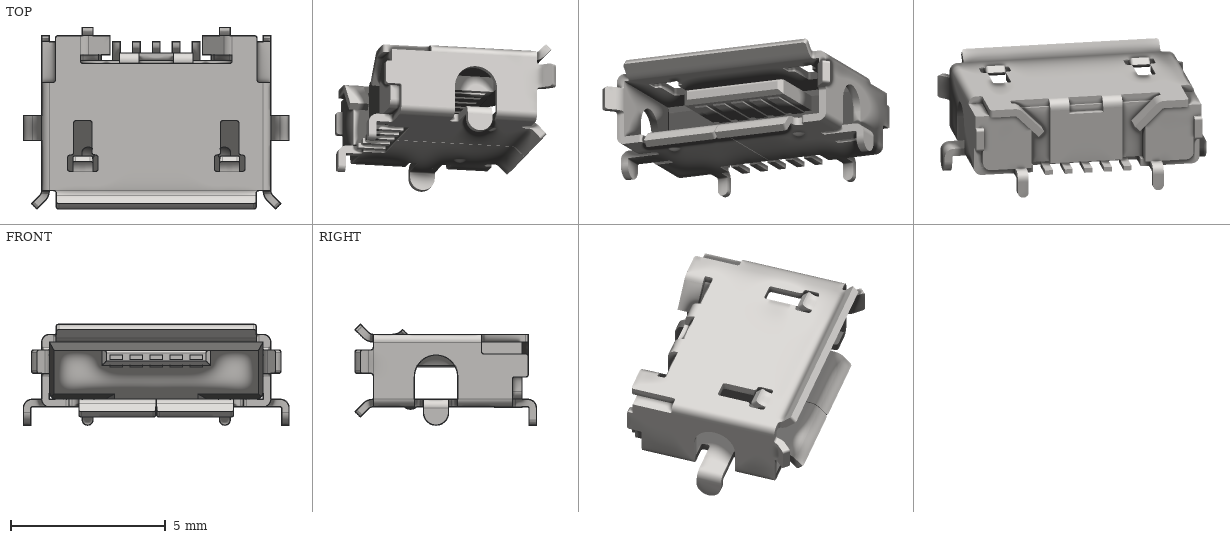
import cadquery as cq
import math


SHEET = 0.25
SHELL_HALF = 3.71
SHELL_TOP = 2.35
SHELL_CORNER = 0.26
INNER_HALF = SHELL_HALF - SHEET
CEILING = SHELL_TOP - SHEET
TOP_REAR = 5.01
BOTTOM_REAR = 4.51
SMALL_ROUND = 0.09
TINY_ROUND = 0.05
SEAM = 0.03
BEND_ANGLE = 45

LIP_RADIUS = 0.215
LIP_REACH = 0.59
TOP_LIP_HALF = 3.23
BOTTOM_LIP_HALF = 2.5
SIDE_LIP_LOW = 1.08
SIDE_LIP_HIGH = 1.84
RELIEF_OUTER = 2.82
RELIEF_DEPTH = 0.275
RELIEF_CORNER = 0.095
RELIEF_ROUND = 0.215

LEG_Y = 2.03
LEG_WIDTH = 0.82
LEG_HALF_SPAN = 4.3
FOOT_BOTTOM = -0.59
FOOT_BEND = 0.04
FOOT_ANGLE = 90
WINDOW_WIDTH = 1.39
WINDOW_TOP = 1.68
SLOT_INNER = 2.91

PEG_X = 2.22
PEG_WIDTH = 0.35
PEG_REAR = 5.28

TOP_NOTCH_HALF = 2.45
TOP_NOTCH_Y = 4.11
BOTTOM_NOTCH_HALF = 1.77
BOTTOM_NOTCH_Y = 3.78
EAR_FRONT = 3.5
EAR_BOTTOM = 1.71
EAR_INNER = 3.26
WALL_STEP_Z = 0.96

FLAP_FRONT = 4.395
FLAP_INNER = 1.49
FLAP_RADIUS = 0.11

TAB_X = 2.37
TAB_WIDTH = 0.645
TAB_ROOT = 0.62
TAB_RADIUS = 0.43
TAB_REACH = 0.51
TAB_OPENING_WIDTH = 0.99
TAB_OPENING_REAR = 1.15
STEM_WIDTH = 0.59
STEM_REAR = 2.27

DIMPLE_X = 2.2
DIMPLE_Y = 1.2
DIMPLE_RADIUS = 0.21
DIMPLE_DEPTH = 0.08

BLOCK_FRONT = 3.21
BLOCK_REAR = 4.21
SHOULDER_REAR = 4.82
SHOULDER_INNER = 1.87
BLOCK_CORNER = 0.25
BEVEL_DEPTH = 0.26
TOP_BEVEL = 0.275
SIDE_BEVEL = 0.155
BOTTOM_BEVEL = 0.17
BOTTOM_BEVEL_END = 1.35
BOTTOM_BEVEL_SLANT = 0.3
TONGUE_HALF = 1.755
TONGUE_TIP = 0.86
TONGUE_BOTTOM = 1.34
TONGUE_TOP = CEILING - TOP_BEVEL
TIP_SIDE_BEVEL = 0.15
TIP_TOP_ROUND = 0.09
TIP_BOTTOM_BEVEL = 0.15
BUMP_INNER = 0.55
BUMP_OUTER = 1.19
BUMP_REAR = 4.455
BUMP_ROUND = 0.31
LEDGE_TOP = 1.89

CONTACT_COUNT = 5
CONTACT_PITCH = 0.645
CONTACT_THICK = 0.155
BLADE_WIDTH = 0.4
TAIL_WIDTH = 0.26
BLADE_BOTTOM = 1.29
NOSE_BOTTOM = 1.53
JOG_FRONT = 1.03
JOG_REAR = 1.25
DROP_FRONT = 3.91
TAIL_BOTTOM = -0.02
TAIL_REAR = SHOULDER_REAR


def block(x0, x1, y0, y1, z0, z1):
    """Box between two opposite corners."""
    return cq.Workplane("XY").box(x1 - x0, y1 - y0, z1 - z0, centered=False).translate((x0, y0, z0))


def straight_for_reach(reach, radius, angle):
    """Flat length a bent strip needs for its outer face to reach a given distance."""
    a = math.radians(angle)
    return (reach - (radius + SHEET) * math.sin(a)) / math.cos(a)


def root_trim(origin, along, toward, edge, root_round):
    """Cutter beside one edge of a strip that leaves a concave round at the strip's root."""
    size = abs(root_round)
    far = 2 * LIP_REACH
    plane = cq.Plane(origin=origin, xDir=along, normal=toward)
    arc_mid = (size * (1 - math.sqrt(0.5)), edge + root_round * (1 - math.sqrt(0.5)))
    return (
        cq.Workplane(plane)
        .moveTo(0, edge + root_round)
        .threePointArc(arc_mid, (size, edge))
        .lineTo(far, edge)
        .lineTo(far, edge + 2 * root_round)
        .lineTo(0, edge + 2 * root_round)
        .close()
        .extrude(far, both=True)
    )


def bent_strip(origin, along, toward, width, radius, angle, straight, tip_round=0, root_round=0):
    """Strip that leaves `origin` in direction `along` and bends in direction `toward`.

    `origin` lies on the face inside the bend, in the middle of the strip's width.
    `tip_round` rounds the tip corners and `root_round` flares the strip where it starts.
    """
    a = math.radians(angle)
    half = a / 2
    s, c = math.sin(a), math.cos(a)
    outer = radius + SHEET
    inner_end = (radius * s, radius * (1 - c))
    inner_mid = (radius * math.sin(half), radius * (1 - math.cos(half)))
    outer_end = (outer * s, radius - outer * c)
    outer_mid = (outer * math.sin(half), radius - outer * math.cos(half))
    inner_tip = (inner_end[0] + straight * c, inner_end[1] + straight * s)
    outer_tip = (outer_end[0] + straight * c, outer_end[1] + straight * s)

    across = cq.Vector(*along).cross(cq.Vector(*toward))
    plane = cq.Plane(origin=origin, xDir=along, normal=across.toTuple())
    strip = (
        cq.Workplane(plane)
        .moveTo(0, -SHEET)
        .lineTo(0, 0)
        .threePointArc(inner_mid, inner_end)
        .lineTo(*inner_tip)
        .lineTo(*outer_tip)
        .lineTo(*outer_end)
        .threePointArc(outer_mid, (0, -SHEET))
        .close()
        .extrude(width / 2 + root_round, both=True)
    )
    if root_round:
        for side in (-1, 1):
            strip = strip.cut(root_trim(origin, along, toward, side * width / 2, side * root_round))
    if tip_round:
        tip = plane.toWorldCoords(((inner_tip[0] + outer_tip[0]) / 2, (inner_tip[1] + outer_tip[1]) / 2))
        tip_face = strip.faces(cq.selectors.NearestToPointSelector(tip.toTuple()))
        through_sheet = plane.toWorldCoords(outer_tip) - plane.toWorldCoords(inner_tip)
        strip = tip_face.edges(cq.selectors.ParallelDirSelector(through_sheet)).fillet(tip_round)
    return strip


def round_foot(origin, along, width):
    """Strip bent straight down at `origin`, ending in a half-round foot."""
    drop = -FOOT_BOTTOM - FOOT_BEND - width / 2
    strip = bent_strip(origin, along, (0, 0, -1), width, FOOT_BEND, FOOT_ANGLE, drop)
    plane = cq.Plane(origin=origin, xDir=(-along[1], along[0], 0), normal=along)
    half_disc = (
        cq.Workplane(plane)
        .workplane(offset=FOOT_BEND)
        .moveTo(-width / 2, FOOT_BOTTOM + width / 2)
        .threePointArc((0, FOOT_BOTTOM), (width / 2, FOOT_BOTTOM + width / 2))
        .close()
        .extrude(SHEET)
    )
    return strip.union(half_disc)


def half_tube():
    """Right half of the folded tube, open at the mouth and the rear."""
    tube = (
        block(-SHELL_HALF, SHELL_HALF, 0, TOP_REAR, 0, SHELL_TOP)
        .edges("|Y")
        .fillet(SHELL_CORNER)
        .cut(block(-INNER_HALF, INNER_HALF, 0, TOP_REAR, SHEET, CEILING))
        .intersect(block(0, SHELL_HALF, 0, TOP_REAR, 0, SHELL_TOP))
    )
    return tube.cut(block(0, SEAM / 2, 0, TOP_REAR, 0, SHEET))


def cut_rear(half):
    """Trim the rear: top notch, ear cutout, wall step and bottom notch."""
    top_notch = block(0, TOP_NOTCH_HALF, TOP_NOTCH_Y, TOP_REAR, CEILING, SHELL_TOP)
    top_notch = top_notch.edges("|Z and >X and <Y").fillet(SMALL_ROUND)
    ear_top = block(EAR_INNER, SHELL_HALF, EAR_FRONT, TOP_REAR, CEILING, SHELL_TOP)
    ear_top = ear_top.edges("|Z and <X and <Y").fillet(SMALL_ROUND)
    ear_side = block(INNER_HALF, SHELL_HALF, EAR_FRONT, TOP_REAR, EAR_BOTTOM, SHELL_TOP)
    ear_side = ear_side.edges("|X and <Y and <Z").fillet(SMALL_ROUND)
    step = block(INNER_HALF, SHELL_HALF, BOTTOM_REAR, TOP_REAR, 0, WALL_STEP_Z)
    step = step.edges("|X and <Y and >Z").fillet(TINY_ROUND)
    bottom_end = block(0, SHELL_HALF, BOTTOM_REAR, TOP_REAR, 0, SHEET)
    bottom_notch = block(0, BOTTOM_NOTCH_HALF, BOTTOM_NOTCH_Y, TOP_REAR, 0, SHEET)
    bottom_notch = bottom_notch.edges("|Z and >X and <Y").fillet(SMALL_ROUND)
    for cutter in (top_notch, ear_top, ear_side, step, bottom_end, bottom_notch):
        half = half.cut(cutter)
    half = half.edges(cq.selectors.NearestToPointSelector((EAR_INNER, TOP_REAR, CEILING + SHEET / 2)))
    half = half.fillet(SMALL_ROUND)
    for corner_z in (WALL_STEP_Z, EAR_BOTTOM):
        corner = (SHELL_HALF - SHEET / 2, TOP_REAR, corner_z)
        half = half.edges(cq.selectors.NearestToPointSelector(corner)).fillet(SMALL_ROUND)
    return half


def add_lips(half):
    """Flared lips on the top, side and bottom of the mouth."""
    straight = straight_for_reach(LIP_REACH, LIP_RADIUS, BEND_ANGLE)
    forward = (0, -1, 0)
    top = bent_strip(
        (0, 0, SHELL_TOP), forward, (0, 0, 1), 2 * TOP_LIP_HALF,
        LIP_RADIUS, BEND_ANGLE, straight, SMALL_ROUND, SMALL_ROUND,
    ).intersect(block(0, SHELL_HALF, -LIP_REACH, 0, 0, 2 * SHELL_TOP))
    side = bent_strip(
        (SHELL_HALF, 0, (SIDE_LIP_LOW + SIDE_LIP_HIGH) / 2), forward, (1, 0, 0),
        SIDE_LIP_HIGH - SIDE_LIP_LOW, LIP_RADIUS, BEND_ANGLE, straight, SMALL_ROUND, SMALL_ROUND,
    )
    bottom = bent_strip(
        ((SEAM / 2 + BOTTOM_LIP_HALF) / 2, 0, 0), forward, (0, 0, -1),
        BOTTOM_LIP_HALF - SEAM / 2, LIP_RADIUS, BEND_ANGLE, straight, SMALL_ROUND,
    )
    relief = block(BOTTOM_LIP_HALF, RELIEF_OUTER, 0, RELIEF_DEPTH, 0, SHEET)
    relief = relief.edges("|Z and >Y and >X").fillet(RELIEF_CORNER)
    relief = relief.edges("|Z and >Y and <X").fillet(RELIEF_ROUND)
    half = half.cut(relief)
    half = half.edges(cq.selectors.NearestToPointSelector((RELIEF_OUTER, 0, SHEET / 2)))
    half = half.fillet(RELIEF_CORNER)
    half = half.union(top).union(side).union(bottom)
    return half


def add_leg(half):
    """Round-topped side window with the solder leg that comes out of it."""
    y0 = LEG_Y - WINDOW_WIDTH / 2
    y1 = LEG_Y + WINDOW_WIDTH / 2
    spring_line = WINDOW_TOP - WINDOW_WIDTH / 2
    arch = (
        cq.Workplane("YZ", origin=(INNER_HALF, LEG_Y, spring_line))
        .circle(WINDOW_WIDTH / 2)
        .extrude(SHEET)
    )
    half = half.cut(arch).cut(block(INNER_HALF, SHELL_HALF, y0, y1, 0, spring_line))
    leg_y0 = LEG_Y - LEG_WIDTH / 2
    leg_y1 = LEG_Y + LEG_WIDTH / 2
    for slot_y0, slot_y1 in ((y0, leg_y0), (leg_y1, y1)):
        slot = block(SLOT_INNER, SHELL_HALF, slot_y0, slot_y1, 0, SHEET)
        half = half.cut(slot.edges("|Z and <X").fillet(SMALL_ROUND))
    bend_x = LEG_HALF_SPAN - FOOT_BEND - SHEET
    strip = block(INNER_HALF, bend_x, leg_y0, leg_y1, 0, SHEET)
    return half.union(strip).union(round_foot((bend_x, LEG_Y, 0), (1, 0, 0), LEG_WIDTH))


def add_peg(half):
    """Rear peg: a tongue of the bottom plate bent down."""
    bend_y = PEG_REAR - FOOT_BEND - SHEET
    strip = block(PEG_X - PEG_WIDTH / 2, PEG_X + PEG_WIDTH / 2, BOTTOM_REAR, bend_y, 0, SHEET)
    half = half.union(strip)
    for side in (-1, 1):
        root = (PEG_X + side * PEG_WIDTH / 2, BOTTOM_REAR, SHEET / 2)
        half = half.edges(cq.selectors.NearestToPointSelector(root)).fillet(SMALL_ROUND)
    return half.union(round_foot((PEG_X, bend_y, 0), (0, 1, 0), PEG_WIDTH))


def add_flap(half):
    """Rear flap bent down and inward from the top plate."""
    straight = straight_for_reach(TOP_NOTCH_HALF - FLAP_INNER, FLAP_RADIUS, BEND_ANGLE)
    origin = (TOP_NOTCH_HALF, (FLAP_FRONT + TOP_REAR) / 2, CEILING)
    flap = bent_strip(
        origin, (-1, 0, 0), (0, 0, -1), TOP_REAR - FLAP_FRONT, FLAP_RADIUS, BEND_ANGLE, straight,
    )
    return half.union(flap)


def add_spring_tab(half):
    """T-shaped opening in the top plate with a tab bent up from its front edge."""
    opening = block(
        TAB_X - TAB_OPENING_WIDTH / 2, TAB_X + TAB_OPENING_WIDTH / 2,
        TAB_ROOT, TAB_OPENING_REAR, CEILING, SHELL_TOP,
    )
    stem = block(
        TAB_X - STEM_WIDTH / 2, TAB_X + STEM_WIDTH / 2,
        TAB_OPENING_REAR, STEM_REAR, CEILING, SHELL_TOP,
    )
    cutter = opening.union(stem).edges("|Z").fillet(SMALL_ROUND)
    straight = straight_for_reach(TAB_REACH, TAB_RADIUS, BEND_ANGLE)
    tab = bent_strip(
        (TAB_X, TAB_ROOT, SHELL_TOP), (0, 1, 0), (0, 0, 1), TAB_WIDTH,
        TAB_RADIUS, BEND_ANGLE, straight, SMALL_ROUND,
    )
    return half.cut(cutter).union(tab)


def dimple_cap(top):
    """Spherical cap hanging below height `top`."""
    rim = (DIMPLE_X, DIMPLE_Y, top)
    ball_radius = (DIMPLE_RADIUS ** 2 + DIMPLE_DEPTH ** 2) / (2 * DIMPLE_DEPTH)
    ball = cq.Workplane("XY").sphere(ball_radius)
    ball = ball.translate((DIMPLE_X, DIMPLE_Y, top - DIMPLE_DEPTH + ball_radius))
    below = cq.Workplane("XY", origin=rim).circle(DIMPLE_RADIUS).extrude(-DIMPLE_DEPTH)
    return ball.intersect(below)


def make_shell():
    """Whole shell: the finished right half and its mirror image."""
    half = cut_rear(half_tube())
    half = add_lips(half)
    half = add_leg(half)
    half = add_peg(half)
    half = add_flap(half)
    half = add_spring_tab(half)
    half = half.cut(dimple_cap(SHEET)).union(dimple_cap(0))
    return half.union(half.mirror("YZ"))


def contact_slab(points, width):
    """Side profile in Y and Z, extruded evenly about X = 0."""
    return cq.Workplane("YZ").polyline(points).close().extrude(width / 2, both=True)


def make_contact(x):
    """Blade under the tongue with a raised nose, dropping at the rear to a solder tail."""
    blade_top = BLADE_BOTTOM + CONTACT_THICK
    nose_top = NOSE_BOTTOM + CONTACT_THICK
    drop_rear = DROP_FRONT + CONTACT_THICK
    tail_top = TAIL_BOTTOM + CONTACT_THICK
    blade = contact_slab(
        [
            (TONGUE_TIP, NOSE_BOTTOM), (JOG_FRONT, NOSE_BOTTOM), (JOG_REAR, BLADE_BOTTOM),
            (DROP_FRONT, BLADE_BOTTOM), (DROP_FRONT, blade_top), (JOG_REAR, blade_top),
            (JOG_FRONT, nose_top), (TONGUE_TIP, nose_top),
        ],
        BLADE_WIDTH,
    )
    tail = contact_slab(
        [
            (DROP_FRONT, TAIL_BOTTOM), (TAIL_REAR, TAIL_BOTTOM), (TAIL_REAR, tail_top),
            (drop_rear, tail_top), (drop_rear, blade_top), (DROP_FRONT, blade_top),
        ],
        TAIL_WIDTH,
    )
    return blade.union(tail).translate((x, 0, 0))


def housing_block():
    """Rear block with rounded lower corners and the central rear recess."""
    body = block(-INNER_HALF, INNER_HALF, BLOCK_FRONT, SHOULDER_REAR, SHEET, CEILING)
    body = body.edges("|Y and <Z").fillet(BLOCK_CORNER)
    return body.cut(block(-SHOULDER_INNER, SHOULDER_INNER, BLOCK_REAR, SHOULDER_REAR, SHEET, CEILING))


def right_bevels():
    """Cutters for the right half of the block's front bevels."""
    rear = BLOCK_FRONT + BEVEL_DEPTH
    top = (
        cq.Workplane("YZ")
        .polyline([(BLOCK_FRONT, CEILING - TOP_BEVEL), (BLOCK_FRONT, CEILING), (rear, CEILING)])
        .close()
        .extrude(INNER_HALF)
    )
    side = (
        cq.Workplane("XY")
        .polyline([(INNER_HALF - SIDE_BEVEL, BLOCK_FRONT), (INNER_HALF, BLOCK_FRONT), (INNER_HALF, rear)])
        .close()
        .extrude(CEILING)
    )
    bottom_plan = (
        cq.Workplane("XY")
        .polyline([
            (BOTTOM_BEVEL_END, BLOCK_FRONT), (INNER_HALF, BLOCK_FRONT),
            (INNER_HALF, rear), (BOTTOM_BEVEL_END + BOTTOM_BEVEL_SLANT, rear),
        ])
        .close()
        .extrude(CEILING)
    )
    bottom = (
        cq.Workplane("YZ")
        .polyline([(BLOCK_FRONT, SHEET), (BLOCK_FRONT, SHEET + BOTTOM_BEVEL), (rear, SHEET)])
        .close()
        .extrude(INNER_HALF)
        .intersect(bottom_plan)
    )
    return [top, side, bottom]


def right_flap_seat():
    """Cutter that slopes the right shoulder along the underside of the flap."""
    a = math.radians(BEND_ANGLE)
    touch = (
        TOP_NOTCH_HALF - FLAP_RADIUS * math.sin(a),
        CEILING - FLAP_RADIUS * (1 - math.cos(a)),
    )
    bend_mid = (
        TOP_NOTCH_HALF - FLAP_RADIUS * math.sin(a / 2),
        CEILING - FLAP_RADIUS * (1 - math.cos(a / 2)),
    )
    seat_low = (SHOULDER_INNER, touch[1] - (touch[0] - SHOULDER_INNER) * math.tan(a))
    return (
        cq.Workplane("XZ", origin=(0, BLOCK_REAR, 0))
        .moveTo(TOP_NOTCH_HALF, CEILING)
        .threePointArc(bend_mid, touch)
        .lineTo(*seat_low)
        .lineTo(SHOULDER_INNER, CEILING)
        .close()
        .extrude(BLOCK_REAR - SHOULDER_REAR)
    )


def make_tongue():
    """Tongue whose tip is bevelled below and at the sides and rounded on top."""
    taper_end = TONGUE_TIP + TIP_BOTTOM_BEVEL
    tip_half = TONGUE_HALF - TIP_SIDE_BEVEL
    round_mid = TIP_TOP_ROUND * (1 - math.sqrt(0.5))
    tongue = (
        cq.Workplane("YZ")
        .moveTo(TONGUE_TIP, TONGUE_BOTTOM + TIP_BOTTOM_BEVEL)
        .lineTo(taper_end, TONGUE_BOTTOM)
        .lineTo(BLOCK_FRONT, TONGUE_BOTTOM)
        .lineTo(BLOCK_FRONT, TONGUE_TOP)
        .lineTo(TONGUE_TIP + TIP_TOP_ROUND, TONGUE_TOP)
        .threePointArc(
            (TONGUE_TIP + round_mid, TONGUE_TOP - round_mid),
            (TONGUE_TIP, TONGUE_TOP - TIP_TOP_ROUND),
        )
        .close()
        .extrude(TONGUE_HALF, both=True)
    )
    plan_outline = (
        cq.Workplane("XY")
        .polyline([
            (-tip_half, TONGUE_TIP), (tip_half, TONGUE_TIP), (TONGUE_HALF, taper_end),
            (TONGUE_HALF, BLOCK_FRONT), (-TONGUE_HALF, BLOCK_FRONT), (-TONGUE_HALF, taper_end),
        ])
        .close()
        .extrude(CEILING)
    )
    return tongue.intersect(plan_outline)


def right_ear():
    """Ear that fills the cutout in the shell's rear upper corner."""
    ear = block(INNER_HALF, SHELL_HALF, EAR_FRONT, SHOULDER_REAR, EAR_BOTTOM, CEILING)
    return ear.edges("|X and <Y and <Z").fillet(SMALL_ROUND)


def right_bump():
    """Round-topped bump on the rear face."""
    bump = block(BUMP_INNER, BUMP_OUTER, TOP_NOTCH_Y, BUMP_REAR, SHEET, SHELL_TOP)
    return bump.edges("|X and >Y and >Z").fillet(BUMP_ROUND)


def make_housing(contacts):
    """Housing with slots that fit the contacts exactly."""
    body = housing_block()
    for cutter in [*right_bevels(), right_flap_seat()]:
        body = body.cut(cutter).cut(cutter.mirror("YZ"))
    for addition in (right_ear(), right_bump()):
        body = body.union(addition).union(addition.mirror("YZ"))
    body = body.union(make_tongue())
    body = body.union(block(-BUMP_INNER, BUMP_INNER, BLOCK_REAR, BUMP_REAR, SHEET, LEDGE_TOP))
    for contact in contacts:
        body = body.cut(contact)
    return body


middle = (CONTACT_COUNT - 1) / 2
contacts = [make_contact((i - middle) * CONTACT_PITCH) for i in range(CONTACT_COUNT)]
housing = make_housing(contacts)
shell = make_shell()

bodies = [shell, housing, *contacts]
result = cq.Compound.makeCompound([body.solids().val() for body in bodies])